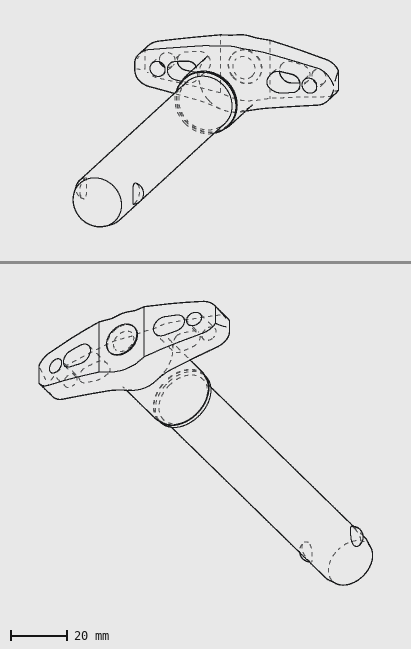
import cadquery as cq
import math

length = 160.1

hub_radius = 12.3
span = 74.8
half_span = span / 2
end_radius = 7.0

dip_half_width = 4.8
dip_y = -1.5
shoulder_x = 9.3
wing_mid_x = 24.8
wing_mid_y = -1.6
end_back_x = 36.3
end_back_y = -3.8
end_front_y = -13.1
end_rounding = 1.5
wing_root_y = -12.5

hole_x = 28.5
hole_diameter = 5.6
slot_inner_x = 17.0
slot_inner_radius = 4.0
slot_outer_x = 21.5
slot_outer_radius = 6.9 / 2

button_radius = 6.2
button_rim = 0.5
button_neck_radius = 4.2
button_root_y = -3.2

collar_radius = 23.5 / 2
flare_radius = 4.6
flare_end_radius = collar_radius + flare_radius
collar_start_y = wing_root_y - flare_radius
collar_taper_y = -39.7
collar_taper_radius = 11.2
ring_start_y = -41.6
ring_end_y = -43.0
ring_radius = 22.9 / 2

pin_radius = 20.0 / 2
tip_radius = 9.1
tip_length = 3.8

ball_radius = 3.8
ball_reach = 12.5
ball_y = -146.7


def tapered_side(inner_x, inner_radius, outer_x, outer_radius):
    """Ends of the straight line touching two circles on the X axis from above."""
    tilt = math.asin((inner_radius - outer_radius) / (outer_x - inner_x))
    inner = (inner_x + inner_radius * math.sin(tilt), inner_radius * math.cos(tilt))
    outer = (outer_x + outer_radius * math.sin(tilt), outer_radius * math.cos(tilt))
    return inner, outer


def revolved(sketch):
    return sketch.close().revolve(360, (0, 0, 0), (0, 1, 0))


def mirrored_pair(right_half):
    return right_half.union(right_half.mirror("YZ"))


def plate_outline():
    """Wing outline, tall enough in Y to hold the plate and the flare."""
    (hub_x, hub_z), (end_x, end_z) = tapered_side(0, hub_radius, half_span - end_radius, end_radius)
    return (
        cq.Workplane("XZ")
        .moveTo(-hub_x, hub_z)
        .threePointArc((0, hub_radius), (hub_x, hub_z))
        .lineTo(end_x, end_z)
        .threePointArc((half_span, 0), (end_x, -end_z))
        .lineTo(hub_x, -hub_z)
        .threePointArc((0, -hub_radius), (-hub_x, -hub_z))
        .lineTo(-end_x, -end_z)
        .threePointArc((-half_span, 0), (-end_x, end_z))
        .close()
        .extrude(-collar_start_y)
    )


def half_plate_profile():
    """Depth profile of the right half of the plate, as tall as the hub in Z."""
    rounding_x = half_span - end_rounding
    rounding_y = end_front_y + end_rounding
    diagonal = end_rounding * math.sqrt(0.5)
    return (
        cq.Workplane("XY")
        .moveTo(0, wing_root_y)
        .lineTo(flare_end_radius, wing_root_y)
        .tangentArcPoint((rounding_x, end_front_y), relative=False)
        .threePointArc((rounding_x + diagonal, rounding_y - diagonal), (half_span, rounding_y))
        .lineTo(end_back_x, end_back_y)
        .threePointArc((wing_mid_x, wing_mid_y), (shoulder_x, 0))
        .lineTo(dip_half_width, dip_y)
        .lineTo(0, dip_y)
        .close()
        .extrude(hub_radius, both=True)
    )


def flare():
    """Concave transition from the plate to the collar."""
    diagonal = flare_radius * math.sqrt(0.5)
    return revolved(
        cq.Workplane("XY")
        .moveTo(0, wing_root_y)
        .lineTo(flare_end_radius, wing_root_y)
        .threePointArc(
            (flare_end_radius - diagonal, collar_start_y + diagonal),
            (collar_radius, collar_start_y),
        )
        .lineTo(0, collar_start_y)
    )


def collar_and_pin():
    return revolved(
        cq.Workplane("XY")
        .moveTo(0, collar_start_y)
        .lineTo(collar_radius, collar_start_y)
        .lineTo(collar_radius, collar_taper_y)
        .lineTo(collar_taper_radius, ring_start_y)
        .lineTo(ring_radius, ring_start_y)
        .lineTo(ring_radius, ring_end_y)
        .lineTo(pin_radius, ring_end_y)
        .lineTo(pin_radius, tip_length - length)
        .lineTo(tip_radius, -length)
        .lineTo(0, -length)
    )


def button():
    return revolved(
        cq.Workplane("XY")
        .lineTo(button_radius, 0)
        .lineTo(button_radius, -button_rim)
        .lineTo(button_neck_radius, dip_y)
        .lineTo(button_neck_radius, button_root_y)
        .lineTo(0, button_root_y)
    )


def wing_openings():
    """Tapered slot and round hole of the right wing, through the plate and the flare."""
    (inner_x, inner_z), (outer_x, outer_z) = tapered_side(
        slot_inner_x, slot_inner_radius, slot_outer_x, slot_outer_radius
    )
    slot = (
        cq.Workplane("XZ")
        .moveTo(inner_x, inner_z)
        .lineTo(outer_x, outer_z)
        .threePointArc((slot_outer_x + slot_outer_radius, 0), (outer_x, -outer_z))
        .lineTo(inner_x, -inner_z)
        .threePointArc((slot_inner_x - slot_inner_radius, 0), (inner_x, inner_z))
        .close()
        .extrude(-collar_start_y)
    )
    hole = cq.Workplane("XZ").center(hole_x, 0).circle(hole_diameter / 2).extrude(-collar_start_y)
    return slot.union(hole)


def locking_ball():
    return cq.Workplane("XY").sphere(ball_radius).translate((ball_reach - ball_radius, ball_y, 0))


handle = mirrored_pair(half_plate_profile()).union(flare()).intersect(plate_outline())
handle = handle.cut(mirrored_pair(wing_openings()))

result = handle.union(collar_and_pin()).union(button())
for ball in (locking_ball(), locking_ball().mirror("YZ")):
    result = result.union(ball)